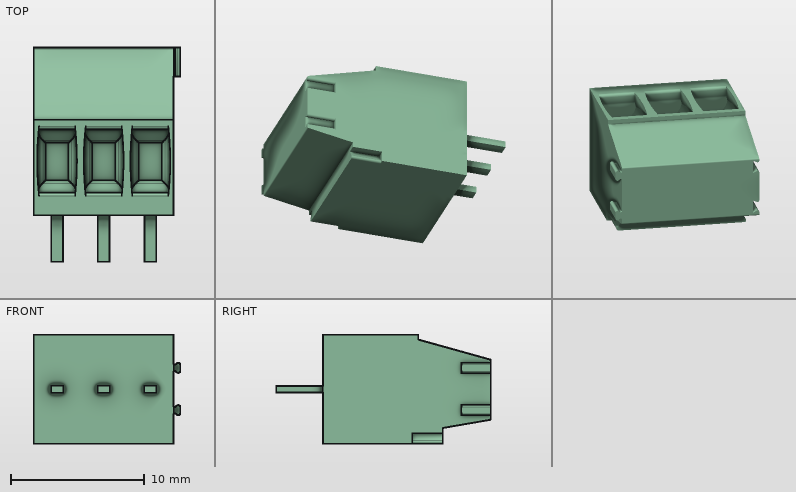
import cadquery as cq
import math

pole_count = 3
pitch = 3.5
width = pole_count * pitch
depth = 12.6
height = 8.2

top_step_y = 7.17
top_step_drop = 0.37
back_top_z = 6.32
back_bottom_z = 1.8
foot_back_y = 9.0
foot_step_z = 1.18
back_edge_radius = 0.11

pin_width = 0.9
pin_thickness = 0.5
pin_length = 3.5
pin_z = 4.1

well_y = 4.07
well_rim_length = 5.2
well_rim_radius = 0.22
well_width = 2.7
well_side_bulge = 0.15
well_wall_drop = 0.72
well_bend_run = 0.08
well_bend_drop = 0.14
well_ramp_drop = 1.37
well_side_mid_drop = 1.07
well_side_top_drop = 0.52
well_side_mid_half_width = 1.37
floor_pocket_width = 2.16
floor_pocket_length = 3.24
floor_pocket_depth = 0.44
floor_pocket_y = 4.03
floor_edge_run = 0.22

joint_heights = (2.53, 5.7)
joint_length = 2.2
rib_reach = 0.5
rib_neck_reach = 0.11
rib_flare_reach = 0.26
rib_bulge_reach = 0.43
rib_root_half_height = 0.28
rib_neck_half_height = 0.24
rib_head_half_height = 0.36
rib_tip_half_height = 0.26
groove_depth = 0.48
groove_lip_radius = 0.16
groove_mouth_half_height = 0.49

notch_front_y = 6.69
notch_height = 0.8
notch_reach = 0.75
lip_reach = 0.3
lip_top_z = 0.27
lip_top_reach = 0.36
lip_bottom_reach = 0.43

diagonal = math.cos(math.radians(45))


def upright_arc_mid(run, drop):
    """Offsets of the midpoint of an arc that starts upright and covers run and drop."""
    radius = (run**2 + drop**2) / (2 * run)
    half_sweep = math.asin(drop / radius) / 2
    return radius * (1 - math.cos(half_sweep)), radius * math.sin(half_sweep)


def make_housing():
    """Side outline in the YZ plane, extruded across all poles."""
    outline = (
        cq.Workplane("YZ")
        .moveTo(0, 0)
        .lineTo(0, height)
        .lineTo(top_step_y, height)
        .lineTo(top_step_y, height - top_step_drop)
        .lineTo(depth, back_top_z)
        .lineTo(depth, back_bottom_z)
        .lineTo(foot_back_y, foot_step_z)
        .lineTo(foot_back_y, 0)
        .close()
    )
    return outline.extrude(width).faces(">Y").edges("|X").fillet(back_edge_radius)


def make_pin(center_x):
    return (
        cq.Workplane("XZ")
        .center(center_x, pin_z)
        .rect(pin_width, pin_thickness)
        .extrude(pin_length)
    )


def well_plan():
    """Vertical prism with outward-bowed long sides, centred on X = 0."""
    half_width = well_width / 2
    half_length = well_rim_length / 2
    bowed_half_width = half_width + well_side_bulge
    return (
        cq.Workplane("XY", origin=(0, well_y, height - well_ramp_drop))
        .moveTo(-half_width, -half_length)
        .lineTo(half_width, -half_length)
        .threePointArc((bowed_half_width, 0), (half_width, half_length))
        .lineTo(-half_width, half_length)
        .threePointArc((-bowed_half_width, 0), (-half_width, -half_length))
        .close()
        .extrude(well_ramp_drop)
    )


def well_lengthwise():
    """Rounded rim, upright end walls and ramps, seen along X."""
    rim = well_rim_length / 2
    wall = rim - well_rim_radius
    bend_end = wall - well_bend_run
    bend_mid_run, bend_mid_rise = upright_arc_mid(well_bend_run, well_bend_drop)
    bend_mid = wall - bend_mid_run
    bend_mid_drop = well_wall_drop + bend_mid_rise
    bend_end_drop = well_wall_drop + well_bend_drop
    ramp_foot_back = floor_pocket_y - well_y + floor_pocket_length / 2
    ramp_foot_front = ramp_foot_back - floor_pocket_length
    rim_mid_drop = well_rim_radius * (1 - diagonal)
    rim_mid = wall + rim_mid_drop
    return (
        cq.Workplane("YZ", origin=(-pitch / 2, well_y, height))
        .moveTo(rim, 0)
        .threePointArc((rim_mid, -rim_mid_drop), (wall, -well_rim_radius))
        .lineTo(wall, -well_wall_drop)
        .threePointArc((bend_mid, -bend_mid_drop), (bend_end, -bend_end_drop))
        .lineTo(ramp_foot_back, -well_ramp_drop)
        .lineTo(ramp_foot_front, -well_ramp_drop)
        .lineTo(-bend_end, -bend_end_drop)
        .threePointArc((-bend_mid, -bend_mid_drop), (-wall, -well_wall_drop))
        .lineTo(-wall, -well_rim_radius)
        .threePointArc((-rim_mid, -rim_mid_drop), (-rim, 0))
        .close()
        .extrude(pitch)
    )


def well_crosswise():
    """Concave lower flanks, seen along Y."""
    top_half = well_width / 2 + well_side_bulge
    mid_half = well_side_mid_half_width
    foot_half = floor_pocket_width / 2
    return (
        cq.Workplane("XZ", origin=(0, well_y + well_rim_length / 2, height))
        .moveTo(top_half, 0)
        .lineTo(top_half, -well_side_top_drop)
        .threePointArc((mid_half, -well_side_mid_drop), (foot_half, -well_ramp_drop))
        .lineTo(-foot_half, -well_ramp_drop)
        .threePointArc((-mid_half, -well_side_mid_drop), (-top_half, -well_side_top_drop))
        .lineTo(-top_half, 0)
        .close()
        .extrude(well_rim_length)
    )


def floor_profile(plane, mouth_half):
    """Cross-section of the floor pocket: convex edges that turn upright at the floor."""
    run = floor_edge_run
    drop = floor_pocket_depth
    mid_run, mid_rise = upright_arc_mid(run, drop)
    floor_half = mouth_half - run
    mid_half = floor_half + mid_run
    mid_drop = drop - mid_rise
    return (
        cq.Workplane(plane, origin=(0, floor_pocket_y, height - well_ramp_drop))
        .moveTo(mouth_half, 0)
        .threePointArc((mid_half, -mid_drop), (floor_half, -drop))
        .lineTo(-floor_half, -drop)
        .threePointArc((-mid_half, -mid_drop), (-mouth_half, 0))
        .close()
    )


def make_well():
    bowl = well_plan().intersect(well_lengthwise()).intersect(well_crosswise())
    floor_lengthwise = floor_profile("YZ", floor_pocket_length / 2).extrude(pitch / 2, both=True)
    floor_crosswise = floor_profile("XZ", floor_pocket_width / 2).extrude(well_rim_length / 2, both=True)
    return bowl.union(floor_lengthwise.intersect(floor_crosswise))


def make_rib(center_z):
    """Headed rib standing out of the right face at the back."""
    return (
        cq.Workplane("XZ", origin=(width, depth, center_z))
        .moveTo(0, -rib_root_half_height)
        .lineTo(rib_neck_reach, -rib_neck_half_height)
        .lineTo(rib_flare_reach, -rib_head_half_height)
        .threePointArc((rib_bulge_reach, -rib_head_half_height), (rib_reach, -rib_tip_half_height))
        .lineTo(rib_reach, rib_tip_half_height)
        .threePointArc((rib_bulge_reach, rib_head_half_height), (rib_flare_reach, rib_head_half_height))
        .lineTo(rib_neck_reach, rib_neck_half_height)
        .lineTo(0, rib_root_half_height)
        .close()
        .extrude(joint_length)
    )


def make_groove(center_z):
    """Round-lipped undercut groove in the left face, open at the back."""
    mouth = groove_mouth_half_height
    throat = mouth - groove_lip_radius
    lip_mid_depth = groove_lip_radius * (1 - diagonal)
    lip_mid_half = mouth - groove_lip_radius * diagonal
    return (
        cq.Workplane("XZ", origin=(0, depth, center_z))
        .moveTo(0, mouth)
        .threePointArc((lip_mid_depth, lip_mid_half), (groove_lip_radius, throat))
        .lineTo(groove_depth, mouth)
        .lineTo(groove_depth, -mouth)
        .lineTo(groove_lip_radius, -throat)
        .threePointArc((lip_mid_depth, -lip_mid_half), (0, -mouth))
        .close()
        .extrude(joint_length)
    )


def make_notch():
    """Undercut notch along the lower left edge, leaving a rounded lip."""
    return (
        cq.Workplane("XZ", origin=(0, foot_back_y, 0))
        .moveTo(0, 0)
        .lineTo(0, notch_height)
        .lineTo(notch_reach, notch_height)
        .lineTo(lip_top_reach, lip_top_z)
        .threePointArc((lip_reach, lip_top_z / 2), (lip_bottom_reach, 0))
        .close()
        .extrude(foot_back_y - notch_front_y)
    )


result = make_housing()

well = make_well()
for pole in range(pole_count):
    pole_x = (pole + 0.5) * pitch
    result = result.cut(well.translate((pole_x, 0, 0)))
    result = result.union(make_pin(pole_x))

for joint_z in joint_heights:
    result = result.cut(make_groove(joint_z))
    result = result.union(make_rib(joint_z))

left_notch = make_notch()
right_notch = left_notch.mirror("YZ", (width / 2, 0, 0))
result = result.cut(left_notch).cut(right_notch)